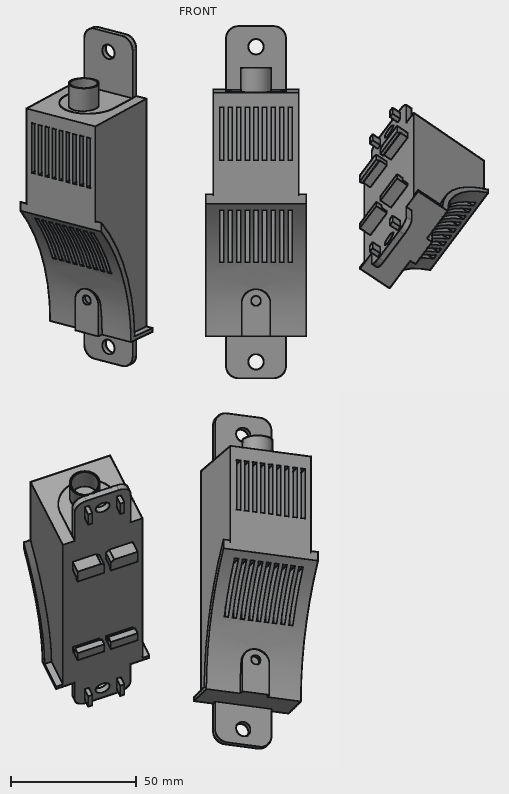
import cadquery as cq
import math


height = 140.0
plate_width = 24.0
plate_thickness = 2.5
plate_corner_radius = 5.0
mount_hole_diameter = 6.0
upper_hole_inset = 8.3
lower_hole_inset = 6.6

body_width = 34.2
body_depth = 34.2
body_top_back = 115.0
body_top_front = 113.4

flange_width = 40.0
flange_bottom = 16.7
floor_thickness = 1.7
flange_bottom_depth = 14.4
curve_radius = 80.4
flange_thickness = 2.5

front_y = -body_depth
curve_center_y = -flange_bottom_depth - curve_radius
inner_radius = curve_radius + flange_thickness
floor_top = flange_bottom + floor_thickness

seat_recess = 0.1
seat_center_y = -15.1
tube_outer_diameter = 12.0
tube_bore_diameter = 10.9
tube_center_y = -18.9
tube_top = 123.3
tube_bore_floor = 113.4

slot_count = 9
slot_row_span = 27.3
slot_pitch = slot_row_span / (slot_count - 1)
slot_width = 1.7
slot_floor_y = -16.8
upper_slot_bottom, upper_slot_top = 86.7, 107.8
lower_slot_bottom, lower_slot_top = 46.2, 66.8

lug_width = 11.5
lug_front_y = -17.0
lug_arc_center_z = 29.7
lug_hole_diameter = 3.9
lug_hole_center_z = 30.8
lug_hole_depth = 1.7
lug_hole_floor_y = lug_front_y + lug_hole_depth

hook_inner_x = 1.4
hook_outer_x = 12.9
hook_reach = 5.2
hook_chamfer = 1.4
upper_hook_top, upper_hook_bottom = 101.0, 95.5
upper_lip_thickness = 1.4
upper_lip_drop = 1.4
lower_hook_top, lower_hook_bottom = 41.9, 39.6
lower_lip_thickness = 2.7
lower_lip_rise = 2.7
rib_center_x = 6.9
rib_thickness = 1.8
rib_reach = 3.8
rib_height = 7.1
upper_rib_inset = 7.5
lower_rib_inset = 6.5


def box(x_min, x_max, y_min, y_max, z_min, z_max):
    """Box between two opposite corners."""
    size = (x_max - x_min, y_max - y_min, z_max - z_min)
    return cq.Workplane("XY").box(*size, centered=False).translate((x_min, y_min, z_min))


def y_cylinder(diameter, y_min, y_max, z):
    """Cylinder along Y, centred on X = 0 at height z."""
    circle = cq.Workplane("XZ", origin=(0, y_max, z)).circle(diameter / 2)
    return circle.extrude(y_max - y_min)


def z_cylinder(diameter, y, z_min, z_max):
    """Upright cylinder, centred on X = 0 at depth y."""
    circle = cq.Workplane("XY", origin=(0, y, z_min)).circle(diameter / 2)
    return circle.extrude(z_max - z_min)


def side_prism(outline, width):
    """Extrude a closed (Y, Z) outline across X, centred on the part."""
    return outline.close().extrude(width / 2, both=True)


def curve_y(z, radius):
    """Y of a flange curve of the given radius at height z."""
    return curve_center_y + math.sqrt(radius**2 - (z - flange_bottom)**2)


def curve_z(y, radius):
    """Z of a flange curve of the given radius at depth y."""
    return flange_bottom + math.sqrt(radius**2 - (y - curve_center_y)**2)


def curve_middle(radius, z_start):
    """Point halfway up a flange curve between z_start and the front face."""
    z = (z_start + curve_z(front_y, radius)) / 2
    return curve_y(z, radius), z


def start_front_curve():
    """Outline from the back along the flange bottom, then up the outer curve to the front face."""
    return (
        cq.Workplane("YZ")
        .moveTo(0, flange_bottom)
        .lineTo(-flange_bottom_depth, flange_bottom)
        .threePointArc(curve_middle(curve_radius, flange_bottom), (front_y, curve_z(front_y, curve_radius)))
    )


def make_plate():
    """Full-height plate with rounded corners, forming an ear at each end."""
    plate = box(-plate_width / 2, plate_width / 2, -plate_thickness, 0, 0, height)
    return plate.edges("|Y").fillet(plate_corner_radius)


def make_housing():
    """Block with a concave lower front and a top that slopes down towards the front."""
    outline = (
        start_front_curve()
        .lineTo(front_y, body_top_front)
        .lineTo(0, body_top_back)
    )
    return side_prism(outline, body_width)


def make_flange():
    """Full-width floor and curved front wall, standing out from both sides of the housing."""
    outline = (
        start_front_curve()
        .lineTo(front_y, curve_z(front_y, inner_radius))
        .threePointArc(curve_middle(inner_radius, floor_top), (curve_y(floor_top, inner_radius), floor_top))
        .lineTo(0, floor_top)
    )
    return side_prism(outline, flange_width)


def make_lug():
    """Flat-faced, round-topped lug; its back is buried in the housing."""
    block = box(-lug_width / 2, lug_width / 2, lug_front_y, 0, flange_bottom, lug_arc_center_z)
    crown = y_cylinder(lug_width, lug_front_y, 0, lug_arc_center_z)
    return block.union(crown)


def make_hook(z_bottom, z_top, lip_thickness, lip_bottom, lip_top):
    """Arm reaching back from the housing, with a lip along its far end."""
    arm = box(hook_inner_x, hook_outer_x, 0, hook_reach, z_bottom, z_top)
    lip = box(hook_inner_x, hook_outer_x, hook_reach - lip_thickness, hook_reach, lip_bottom, lip_top)
    return arm.union(lip)


def make_upper_hook():
    """Hook with its lip hanging down and its inner top edge chamfered."""
    hook = make_hook(
        upper_hook_bottom, upper_hook_top, upper_lip_thickness, upper_hook_bottom - upper_lip_drop, upper_hook_top
    )
    return hook.edges("|Y and <X and >Z").chamfer(hook_chamfer)


def make_lower_hook():
    """Hook with its lip standing up."""
    return make_hook(
        lower_hook_bottom, lower_hook_top, lower_lip_thickness, lower_hook_bottom, lower_hook_top + lower_lip_rise
    )


def make_rib(z_center):
    """Small upright rib on the back of the plate, level with a mounting ear."""
    x_min = rib_center_x - rib_thickness / 2
    z_min = z_center - rib_height / 2
    return box(x_min, x_min + rib_thickness, 0, rib_reach, z_min, z_min + rib_height)


def make_seat_recess():
    """Shallow recess in the sloping top, from the plate to a rounded front end."""
    straight = box(-plate_width / 2, plate_width / 2, seat_center_y, -plate_thickness, 0, height)
    footprint = straight.union(z_cylinder(plate_width, seat_center_y, 0, height))
    layer = side_prism(
        cq.Workplane("YZ")
        .moveTo(0, body_top_back - seat_recess)
        .lineTo(front_y, body_top_front - seat_recess)
        .lineTo(front_y, body_top_back)
        .lineTo(0, body_top_back),
        body_width,
    )
    return layer.intersect(footprint)


def make_slot_row(z_bottom, z_top):
    """Row of upright vent slots, evenly spaced about the middle of the part."""
    row = cq.Workplane("XY")
    for index in range(slot_count):
        x = index * slot_pitch - slot_row_span / 2
        row = row.add(box(x - slot_width / 2, x + slot_width / 2, front_y, slot_floor_y, z_bottom, z_top))
    return row.combine()


result = make_housing().union(make_flange()).union(make_lug())
result = result.cut(make_seat_recess())
result = result.cut(make_slot_row(upper_slot_bottom, upper_slot_top))
result = result.cut(make_slot_row(lower_slot_bottom, lower_slot_top))
result = result.cut(y_cylinder(lug_hole_diameter, lug_front_y, lug_hole_floor_y, lug_hole_center_z))

result = result.union(z_cylinder(tube_outer_diameter, tube_center_y, tube_bore_floor, tube_top))
result = result.cut(z_cylinder(tube_bore_diameter, tube_center_y, tube_bore_floor, tube_top))

result = result.union(make_plate())
for hole_z in (lower_hole_inset, height - upper_hole_inset):
    result = result.cut(y_cylinder(mount_hole_diameter, -plate_thickness, 0, hole_z))

for detail in (make_upper_hook(), make_lower_hook(), make_rib(lower_rib_inset), make_rib(height - upper_rib_inset)):
    result = result.union(detail).union(detail.mirror("YZ"))